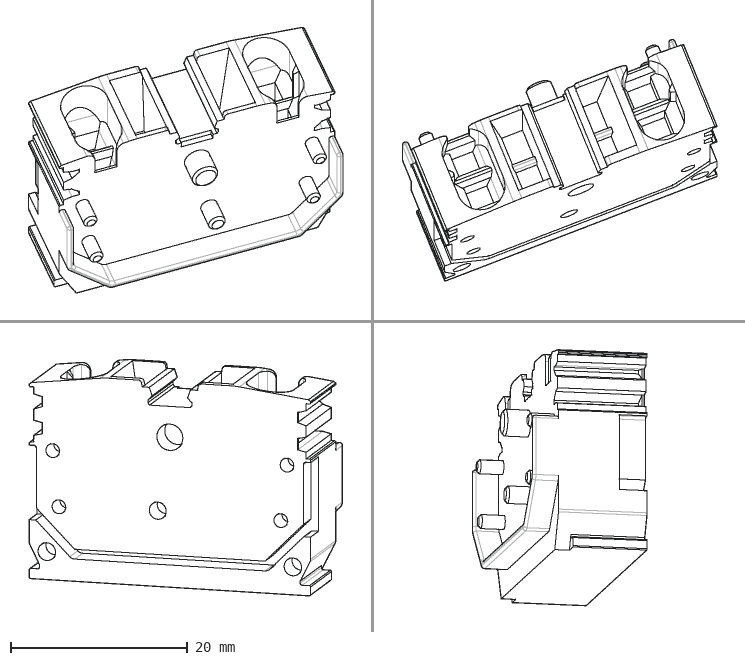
import cadquery as cq
import math

HALF_LENGTH = 16.6
EDGE_CHAMFER = 0.13
HEIGHT = 23.8
BODY_THICKNESS = 10.25
TOTAL_THICKNESS = 13.2
STUD_LENGTH = TOTAL_THICKNESS - BODY_THICKNESS
END_SIDES = (1, -1)

FOOT_TOP_Z = 1.2
FOOT_NECK_Y = 15.37
FOOT_NECK_Z = 1.65
FOOT_THICKNESS = 8.55
UNDERCUT_TOP_Z = 4.12
FOOT_NECK_RADIUS = 0.23
END_TOP_Z = 15.87
RIDGE_Y = 16.07
GROOVE_Y = 15.07
LOWER_GROOVE = (16.63, 16.85, 18.15, 18.4)
UPPER_GROOVE = (19.7, 20.02, 21.18, 21.45)
LIP_BOTTOM_Z = 22.25
LIP_TOP_Z = 22.75
LIP_EDGE_Y = 16.35
LIP_EDGE_DROP = 0.2
ROOF_EDGE_Y = 7.7
ROOF_EDGE_RADIUS = 8.3
UNDERCUT_RADIUS = 0.65

CHANNEL_CREST_Y = 3.4
CHANNEL_CREST_RADIUS = 0.4
CHANNEL_STEP_Z = 23.05
CHANNEL_STEP_Y = 3.25
CHANNEL_MOUTH_Y = 2.42
CHANNEL_NECK_Y = 2.1
CHANNEL_NECK_Z = 22.08
CHANNEL_SIDE_Y = 2.6
CHANNEL_SIDE_TOP_Z = 21.55
CHANNEL_SIDE_BOTTOM_Z = 21.25
CHANNEL_FLOOR_Y = 2.4
CHANNEL_FLOOR_Z = 20.98
NOTCH_LENGTH = 3.82
NOTCH_WIDTH = 0.65
NOTCH_DEPTH = 0.65

SKIN_START_X = 0.25
SKIN_END_X = 0.5
DEEP_GROOVE_Y = 14.15
LOWER_GROOVE_DEEP = (LOWER_GROOVE[1], 17.33)
UPPER_GROOVE_DEEP = (20.78, UPPER_GROOVE[2])

GROOVE_DEPTH = 3.22
GROOVE_TOP_Z = 15.47
GROOVE_INNER_Y = 15.75
GROOVE_INNER_Z = 3.72
GROOVE_OUTER_Z = 2.6
GROOVE_INNER_CORNER_Y = 11.22
GROOVE_OUTER_KNEE_Y = 15.8
GROOVE_OUTER_KNEE_Z = 6.85
GROOVE_TOP_RADIUS = 0.33
CORNER_RADIUS = 0.83
RAIL_CLEARANCE = 0.13
RAIL_TOP_Z = 15.07
RAIL_TOP_RADIUS = 0.33
RAIL_END_RADIUS = 0.33

STUDS = [(0, 17.4, 1.53), (1.43, 8.8, 1.0)]
for side in END_SIDES:
    STUDS += [(side * 13.8, 15.0, 0.8), (side * 13.08, 8.53, 0.8)]
STUD_CHAMFER = 0.3
SOCKET_DEPTH = GROOVE_DEPTH
RIVET_Y = 14.5
RIVET_Z = 3.25
RIVET_RADIUS = 1.03

ENTRY_Y = 10.95
ENTRY_RADIUS = 2.72
ENTRY_LEFT_X = 0.4
ENTRY_RIGHT_X = 9.95
ENTRY_CORNER_RADIUS = 2.05
ENTRY_DOOR_HALF = 1.33
LEAD_IN_TOP_Z = 19.92
LEAD_IN_X = 1.2
FUNNEL_TOP_Z = 18.82
FUNNEL_BOTTOM_Z = 17.25
SHAFT_X = (2.3, 9.45)
SHAFT_Y = (8.95, 12.25)
SHAFT_FLOOR_Y = (9.43, 12.25)
POCKET_FLOOR_Z = 14.28
DOOR_FLOOR_Z = LEAD_IN_TOP_Z
DOOR_FLARE = 1.0
ENTRY_DIVIDER_X = 5.85
ENTRY_DIVIDER_BASE = 1.43
ENTRY_DIVIDER_CREST = 0.35
ENTRY_DIVIDER_TOP_Z = 18.13
RIB_WIDTH = 1.05
RIB_DEPTH = 0.53
RIB_TOP_DROP = 0.7

SCREW_X = (1.0, 9.7)
SCREW_Y = (CHANNEL_STEP_Y, 7.2)
SCREW_FLOOR_X = (1.63, 9.7)
SCREW_FLOOR_Y = (CHANNEL_STEP_Y, 5.8)
SCREW_DIVIDER_X = 5.68
SCREW_DIVIDER_WIDTH = 0.7
SCREW_DIVIDER_RADIUS = 0.33
SCREW_DIVIDER_TOP_Z = 15.95


def both_ends(solid):
    """A solid at the +Y end together with its mirror image at the -Y end."""
    return solid.union(solid.mirror("XZ"))


def both_end_edges(solid, y, z):
    """The two edges along X at (y, z) and (-y, z)."""
    reach = 0.03
    middle = solid.edges("|X").vals()[0].Center().x
    boxes = [
        cq.selectors.BoxSelector(
            (middle - reach, side * y - reach, z - reach),
            (middle + reach, side * y + reach, z + reach),
        )
        for side in END_SIDES
    ]
    return solid.edges(boxes[0] + boxes[1])


def roof_z(y):
    """Height of the sloping roof between its crest and the end lip."""
    slope = (HEIGHT - LIP_TOP_Z) / (LIP_EDGE_Y - ROOF_EDGE_Y)
    return HEIGHT - slope * (y - ROOF_EDGE_Y)


def frustum(top_x, top_y, top_z, bottom_x, bottom_y, bottom_z):
    """A tapered rectangular block given by its X and Y ranges at two heights."""
    def section(z, x_range, y_range):
        width = x_range[1] - x_range[0]
        length = y_range[1] - y_range[0]
        plane = cq.Workplane("XY", origin=(sum(x_range) / 2, sum(y_range) / 2, z))
        return plane.rect(width, length).wires().val()

    wires = [section(bottom_z, bottom_x, bottom_y), section(top_z, top_x, top_y)]
    return cq.Workplane(obj=cq.Solid.makeLoft(wires, True))


def groove_outline(lower_edge, floor_bottom, floor_top, upper_edge):
    """Points of one end groove, from its lower to its upper ridge."""
    return [(RIDGE_Y, lower_edge), (GROOVE_Y, floor_bottom), (GROOVE_Y, floor_top), (RIDGE_Y, upper_edge)]


def make_body():
    half = [
        (HALF_LENGTH - EDGE_CHAMFER, 0),
        (HALF_LENGTH, EDGE_CHAMFER),
        (HALF_LENGTH, FOOT_TOP_Z - EDGE_CHAMFER),
        (HALF_LENGTH - EDGE_CHAMFER, FOOT_TOP_Z),
        (FOOT_NECK_Y, FOOT_TOP_Z),
        (FOOT_NECK_Y, FOOT_NECK_Z),
        (HALF_LENGTH, UNDERCUT_TOP_Z),
        (HALF_LENGTH, END_TOP_Z - EDGE_CHAMFER),
        (HALF_LENGTH - EDGE_CHAMFER, END_TOP_Z),
        (RIDGE_Y, END_TOP_Z),
        *groove_outline(*LOWER_GROOVE),
        *groove_outline(*UPPER_GROOVE),
        (RIDGE_Y, LIP_BOTTOM_Z),
        (HALF_LENGTH - EDGE_CHAMFER, LIP_BOTTOM_Z),
        (HALF_LENGTH, LIP_BOTTOM_Z + EDGE_CHAMFER),
        (HALF_LENGTH, LIP_TOP_Z - LIP_EDGE_DROP),
        (LIP_EDGE_Y, LIP_TOP_Z),
        (ROOF_EDGE_Y, HEIGHT),
        (CHANNEL_CREST_Y, HEIGHT),
        (CHANNEL_STEP_Y, CHANNEL_STEP_Z),
        (CHANNEL_MOUTH_Y, CHANNEL_STEP_Z),
        (CHANNEL_NECK_Y, CHANNEL_NECK_Z),
        (CHANNEL_SIDE_Y, CHANNEL_SIDE_TOP_Z),
        (CHANNEL_SIDE_Y, CHANNEL_SIDE_BOTTOM_Z),
        (CHANNEL_FLOOR_Y, CHANNEL_FLOOR_Z),
    ]
    outline = half + [(-y, z) for y, z in reversed(half)]
    body = cq.Workplane("YZ").polyline(outline).close().extrude(BODY_THICKNESS)
    rounded_edges = [
        (FOOT_NECK_Y, FOOT_TOP_Z, FOOT_NECK_RADIUS),
        (HALF_LENGTH, UNDERCUT_TOP_Z, UNDERCUT_RADIUS),
        (ROOF_EDGE_Y, HEIGHT, ROOF_EDGE_RADIUS),
        (CHANNEL_CREST_Y, HEIGHT, CHANNEL_CREST_RADIUS),
    ]
    for y, z, radius in rounded_edges:
        body = both_end_edges(body, y, z).fillet(radius)
    return body


def make_foot_end():
    """Waste beside the sloping undercut, where the foot stops short of the +X face."""
    slope = (HALF_LENGTH - FOOT_NECK_Y) / (UNDERCUT_TOP_Z - FOOT_NECK_Z)
    base_y = HALF_LENGTH - slope * UNDERCUT_TOP_Z
    outline = [(base_y, 0), (HALF_LENGTH, 0), (HALF_LENGTH, UNDERCUT_TOP_Z)]
    plane = cq.Workplane("YZ", origin=(FOOT_THICKNESS, 0, 0))
    return plane.polyline(outline).close().extrude(BODY_THICKNESS - FOOT_THICKNESS)


def u_band(inset, top_z, depth):
    """U-shaped band along both ends and the bottom; inset narrows it on both flanks."""
    corner_shift = inset * math.tan(math.pi / 8)
    inner_y = GROOVE_INNER_Y + inset
    inner_z = GROOVE_INNER_Z - inset
    inner_corner_y = GROOVE_INNER_CORNER_Y + corner_shift
    outer_z = GROOVE_OUTER_Z + inset
    outer_slope = GROOVE_OUTER_KNEE_Z - GROOVE_OUTER_KNEE_Y + inset * math.sqrt(2)
    half = [
        (outer_z - outer_slope, outer_z),
        (HALF_LENGTH, HALF_LENGTH + outer_slope),
        (HALF_LENGTH, top_z),
        (inner_y, top_z),
        (inner_y, inner_z + inner_y - inner_corner_y),
        (inner_corner_y, inner_z),
    ]
    outline = half + [(-y, z) for y, z in reversed(half)]
    band = cq.Workplane("YZ").polyline(outline).close().extrude(depth)
    return band.edges("|X").edges("<Z").fillet(CORNER_RADIUS)


def make_groove():
    """Groove in the -X face, with a level floor where it runs out through each end."""
    runout_length = HALF_LENGTH - GROOVE_OUTER_KNEE_Y
    runout = (
        cq.Workplane("XY", origin=(0, GROOVE_OUTER_KNEE_Y, GROOVE_OUTER_KNEE_Z))
        .box(GROOVE_DEPTH, runout_length, runout_length, centered=False)
    )
    groove = u_band(0, GROOVE_TOP_Z, GROOVE_DEPTH)
    groove = both_end_edges(groove, GROOVE_INNER_Y, GROOVE_TOP_Z).fillet(GROOVE_TOP_RADIUS)
    return groove.union(both_ends(runout))


def make_rail():
    """Rail that enters the groove of the next block along X."""
    rail = u_band(RAIL_CLEARANCE, RAIL_TOP_Z, STUD_LENGTH)
    top_edges = rail.edges("|X").edges(">Z")
    rail = top_edges.fillet(RAIL_TOP_RADIUS)
    lowest = GROOVE_INNER_Z - 2 * RAIL_CLEARANCE
    highest = RAIL_TOP_Z - 2 * RAIL_TOP_RADIUS
    bends = rail.edges("|X").filter(lambda edge: lowest < edge.Center().z < highest)
    rail = bends.fillet(CORNER_RADIUS)
    rail = rail.faces(">X").edges().fillet(RAIL_END_RADIUS)
    return rail.translate((BODY_THICKNESS, 0, 0))


def make_stud(y, z, radius):
    stud = cq.Workplane("YZ", origin=(BODY_THICKNESS, y, z)).circle(radius).extrude(STUD_LENGTH)
    return stud.faces(">X").chamfer(STUD_CHAMFER)


def make_hole(y, z, radius, depth):
    return cq.Workplane("YZ", origin=(0, y, z)).circle(radius).extrude(depth)


def make_deep_groove(bottom_z, top_z, deep_bottom_z, deep_top_z):
    """Deeper part of an end groove, tapering in Y and starting behind the -X skin."""
    section = [
        (GROOVE_Y, bottom_z),
        (GROOVE_Y, top_z),
        (DEEP_GROOVE_Y, deep_top_z),
        (DEEP_GROOVE_Y, deep_bottom_z),
    ]
    plane = cq.Workplane("YZ", origin=(SKIN_START_X, 0, 0))
    groove = plane.polyline(section).close().extrude(BODY_THICKNESS - SKIN_START_X)
    skin = (
        cq.Workplane("XY", origin=(0, 0, bottom_z))
        .polyline([(SKIN_START_X, GROOVE_Y), (SKIN_START_X, DEEP_GROOVE_Y), (SKIN_END_X, DEEP_GROOVE_Y)])
        .close()
        .extrude(top_z - bottom_z)
    )
    return groove.cut(skin)


def make_entry_outline(height):
    """Wire entry outline: round on the -X side, bevelled towards the doorway on the +X side."""
    left_x = ENTRY_LEFT_X + ENTRY_RADIUS
    diagonal = ENTRY_CORNER_RADIUS * math.sqrt(0.5)
    bevel_y = ENTRY_RADIUS - ENTRY_CORNER_RADIUS + diagonal
    bevel_x = ENTRY_RIGHT_X - (bevel_y - ENTRY_DOOR_HALF)
    right_x = bevel_x - diagonal
    half_turn = math.pi / 8
    mid_x = right_x + ENTRY_CORNER_RADIUS * math.sin(half_turn)
    mid_y = ENTRY_RADIUS - ENTRY_CORNER_RADIUS * (1 - math.cos(half_turn))
    return (
        cq.Workplane("XY", origin=(0, ENTRY_Y, 0))
        .moveTo(left_x, ENTRY_RADIUS)
        .lineTo(right_x, ENTRY_RADIUS)
        .threePointArc((mid_x, mid_y), (bevel_x, bevel_y))
        .lineTo(ENTRY_RIGHT_X, ENTRY_DOOR_HALF)
        .lineTo(ENTRY_RIGHT_X, -ENTRY_DOOR_HALF)
        .lineTo(bevel_x, -bevel_y)
        .threePointArc((mid_x, -mid_y), (right_x, -ENTRY_RADIUS))
        .lineTo(left_x, -ENTRY_RADIUS)
        .threePointArc((ENTRY_LEFT_X, 0), (left_x, ENTRY_RADIUS))
        .close()
        .extrude(height)
    )


def make_entry_door():
    """Doorway from the wire entry through the +X wall, with rounded shoulders at the roof."""
    half_top = ENTRY_DOOR_HALF + DOOR_FLARE
    outer_z = roof_z(ENTRY_Y + half_top)
    inner_z = roof_z(ENTRY_Y - half_top)
    drop = DOOR_FLARE * (1 - math.sqrt(0.5))
    half_y = ENTRY_DOOR_HALF + drop
    return (
        cq.Workplane("YZ", origin=(ENTRY_RIGHT_X - DOOR_FLARE, ENTRY_Y, 0))
        .moveTo(-ENTRY_DOOR_HALF, DOOR_FLOOR_Z)
        .lineTo(ENTRY_DOOR_HALF, DOOR_FLOOR_Z)
        .lineTo(ENTRY_DOOR_HALF, outer_z - DOOR_FLARE)
        .threePointArc((half_y, outer_z - drop), (half_top, outer_z))
        .lineTo(half_top, HEIGHT)
        .lineTo(-half_top, HEIGHT)
        .lineTo(-half_top, inner_z)
        .threePointArc((-half_y, inner_z - drop), (-ENTRY_DOOR_HALF, inner_z - DOOR_FLARE))
        .close()
        .extrude(BODY_THICKNESS - ENTRY_RIGHT_X + DOOR_FLARE)
    )


def make_entry_divider():
    """Ridge across the shaft, with a pointed rib that climbs the outer wall."""
    half_base = ENTRY_DIVIDER_BASE / 2
    half_crest = ENTRY_DIVIDER_CREST / 2
    shoulder_z = ENTRY_DIVIDER_TOP_Z - half_base
    section = [
        (-half_base, POCKET_FLOOR_Z),
        (half_base, POCKET_FLOOR_Z),
        (half_base, shoulder_z),
        (half_crest, ENTRY_DIVIDER_TOP_Z),
        (-half_crest, ENTRY_DIVIDER_TOP_Z),
        (-half_base, shoulder_z),
    ]
    wall_y = ENTRY_Y + ENTRY_RADIUS
    ridge = (
        cq.Workplane("XZ", origin=(ENTRY_DIVIDER_X, wall_y, 0))
        .polyline(section)
        .close()
        .extrude(2 * ENTRY_RADIUS)
    )
    half_rib = RIB_WIDTH / 2
    rib_top_z = roof_z(wall_y)
    rib = (
        cq.Workplane("XY", origin=(ENTRY_DIVIDER_X, wall_y, POCKET_FLOOR_Z))
        .polyline([(-half_rib, 0), (-half_crest, -RIB_DEPTH), (half_crest, -RIB_DEPTH), (half_rib, 0)])
        .close()
        .extrude(rib_top_z - POCKET_FLOOR_Z)
    )
    crest_y = wall_y - RIB_DEPTH
    slope = [(wall_y, rib_top_z), (crest_y, rib_top_z), (crest_y, rib_top_z - RIB_TOP_DROP)]
    slope_waste = (
        cq.Workplane("YZ", origin=(ENTRY_DIVIDER_X - half_rib, 0, 0))
        .polyline(slope)
        .close()
        .extrude(RIB_WIDTH)
    )
    return ridge.union(rib.cut(slope_waste))


def make_wire_entry():
    """Straight mouth, tapering lead-in and funnel, then a shaft split by the divider."""
    outline = make_entry_outline(HEIGHT)
    rim_x = (ENTRY_LEFT_X, ENTRY_RIGHT_X)
    rim_y = (ENTRY_Y - ENTRY_RADIUS, ENTRY_Y + ENTRY_RADIUS)
    funnel_x = (LEAD_IN_X, SHAFT_X[1])
    lead_in = frustum(rim_x, rim_y, LEAD_IN_TOP_Z, funnel_x, rim_y, FUNNEL_TOP_Z)
    funnel = frustum(funnel_x, rim_y, FUNNEL_TOP_Z, SHAFT_X, SHAFT_Y, FUNNEL_BOTTOM_Z)
    shaft = frustum(SHAFT_X, SHAFT_Y, FUNNEL_BOTTOM_Z, SHAFT_X, SHAFT_FLOOR_Y, POCKET_FLOOR_Z)
    mouth = frustum(rim_x, rim_y, HEIGHT, rim_x, rim_y, LEAD_IN_TOP_Z)
    room = outline.intersect(mouth.union(lead_in).union(funnel).union(shaft))
    return room.cut(make_entry_divider()).union(make_entry_door())


def make_screw_pocket():
    """Pocket that narrows downwards, with a rounded divider on its floor."""
    room = frustum(SCREW_X, SCREW_Y, HEIGHT, SCREW_FLOOR_X, SCREW_FLOOR_Y, POCKET_FLOOR_Z)
    height = SCREW_DIVIDER_TOP_Z - POCKET_FLOOR_Z
    length = SCREW_Y[1] - SCREW_Y[0]
    divider = (
        cq.Workplane("XY", origin=(SCREW_DIVIDER_X, sum(SCREW_Y) / 2, POCKET_FLOOR_Z))
        .box(SCREW_DIVIDER_WIDTH, length, height, centered=(True, True, False))
        .edges("|Y and >Z")
        .fillet(SCREW_DIVIDER_RADIUS)
    )
    return room.cut(divider)


def make_channel_notch():
    return (
        cq.Workplane("XY", origin=(BODY_THICKNESS - NOTCH_WIDTH, 0, CHANNEL_FLOOR_Z - NOTCH_DEPTH))
        .box(NOTCH_WIDTH, NOTCH_LENGTH, NOTCH_DEPTH, centered=(False, True, False))
    )


result = make_body()
result = result.cut(both_ends(make_foot_end()))
result = result.cut(make_groove())
for groove, deep in ((LOWER_GROOVE, LOWER_GROOVE_DEEP), (UPPER_GROOVE, UPPER_GROOVE_DEEP)):
    result = result.cut(both_ends(make_deep_groove(groove[1], groove[2], *deep)))
result = result.cut(both_ends(make_wire_entry()))
result = result.cut(both_ends(make_screw_pocket()))
result = result.cut(make_channel_notch())
for y, z, radius in STUDS:
    result = result.cut(make_hole(y, z, radius, SOCKET_DEPTH))
result = result.cut(both_ends(make_hole(RIVET_Y, RIVET_Z, RIVET_RADIUS, SOCKET_DEPTH)))

result = result.union(make_rail())
for y, z, radius in STUDS:
    result = result.union(make_stud(y, z, radius))